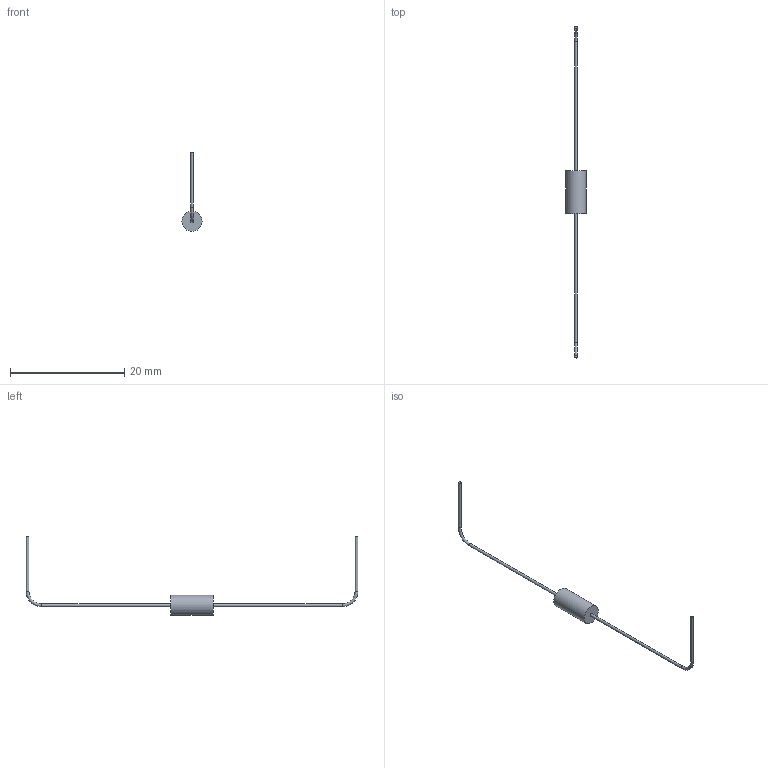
import cadquery as cq

body_diameter = 3.5
body_length = 7.5

lead_diameter = 0.5
lead_span = 58.0
lead_tip_height = 12.0
bend_radius = 2.5

leg_y = (lead_span - lead_diameter) / 2
bend_start_y = leg_y - bend_radius


def make_body():
    """Solid cylinder centred on the origin, lying along Y."""
    end_plane = cq.Workplane("XZ", origin=(0, body_length / 2, 0))
    return end_plane.circle(body_diameter / 2).extrude(body_length)


def make_lead():
    """Round wire from the body centre along +Y, bent up to a vertical leg."""
    centreline = (
        cq.Workplane("YZ")
        .lineTo(bend_start_y, 0)
        .tangentArcPoint((leg_y, bend_radius), relative=False)
        .lineTo(leg_y, lead_tip_height)
    )
    return cq.Workplane("XZ").circle(lead_diameter / 2).sweep(centreline)


lead = make_lead()
opposite_lead = lead.mirror("XZ")

result = make_body().union(lead).union(opposite_lead)